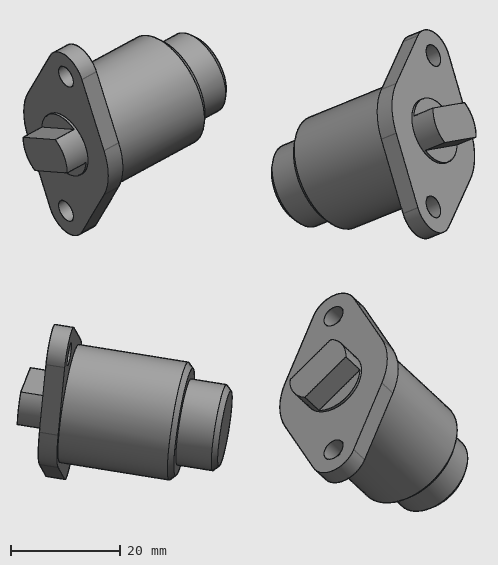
import cadquery as cq
import math


barrel_diameter = 21.9
barrel_length = 21.4
spigot_diameter = 16.0
spigot_length = 7.6
edge_chamfer = 1.0

flange_thickness = 3.5
flange_middle_radius = 12.0
flange_ear_radius = 5.0
ear_offset = 16.0
mounting_hole_diameter = 4.2

shaft_diameter = 12.5
collar_length = 0.5
tongue_length = 4.5
tongue_thickness = 6.7
tongue_angle = 30.0


def disc_along_y(diameter, start_y, length):
    """Cylinder on the Y axis, running from start_y toward +Y."""
    plane = cq.Workplane("XZ", origin=(0, start_y, 0))
    return plane.circle(diameter / 2).extrude(-length)


def make_flange():
    tangent_sine = (flange_middle_radius - flange_ear_radius) / ear_offset
    tangent_cosine = math.sqrt(1 - tangent_sine**2)
    middle_x = flange_middle_radius * tangent_cosine
    middle_z = flange_middle_radius * tangent_sine
    ear_x = flange_ear_radius * tangent_cosine
    ear_z = ear_offset + flange_ear_radius * tangent_sine
    tip_z = ear_offset + flange_ear_radius

    plate = (
        cq.Workplane("XZ")
        .moveTo(middle_x, middle_z)
        .lineTo(ear_x, ear_z)
        .threePointArc((0, tip_z), (-ear_x, ear_z))
        .lineTo(-middle_x, middle_z)
        .threePointArc((-flange_middle_radius, 0), (-middle_x, -middle_z))
        .lineTo(-ear_x, -ear_z)
        .threePointArc((0, -tip_z), (ear_x, -ear_z))
        .lineTo(middle_x, -middle_z)
        .threePointArc((flange_middle_radius, 0), (middle_x, middle_z))
        .close()
        .extrude(-flange_thickness)
    )
    holes = (
        cq.Workplane("XZ")
        .pushPoints([(0, ear_offset), (0, -ear_offset)])
        .circle(mounting_hole_diameter / 2)
        .extrude(-flange_thickness)
    )
    return plate.cut(holes)


def make_housing():
    """Flange, barrel and spigot as one solid, with the rear rims chamfered."""
    barrel_rear = flange_thickness + barrel_length
    barrel = disc_along_y(barrel_diameter, flange_thickness, barrel_length)
    spigot = disc_along_y(spigot_diameter, barrel_rear, spigot_length)
    barrel = barrel.faces(">Y").chamfer(edge_chamfer)
    spigot = spigot.faces(">Y").chamfer(edge_chamfer)
    return make_flange().union(barrel).union(spigot)


def make_shaft():
    """Collar seated on the flange's front face, with the tilted tongue ahead of it."""
    collar = disc_along_y(shaft_diameter, -collar_length, collar_length)
    tongue_round = disc_along_y(shaft_diameter, -collar_length - tongue_length, tongue_length)
    flats = (
        cq.Workplane("XZ", origin=(0, -collar_length, 0))
        .transformed(rotate=(0, 0, tongue_angle))
        .rect(shaft_diameter, tongue_thickness)
        .extrude(tongue_length)
    )
    return collar.union(tongue_round.intersect(flats))


housing = make_housing()
shaft = make_shaft()

result = cq.Compound.makeCompound([housing.val(), shaft.val()])